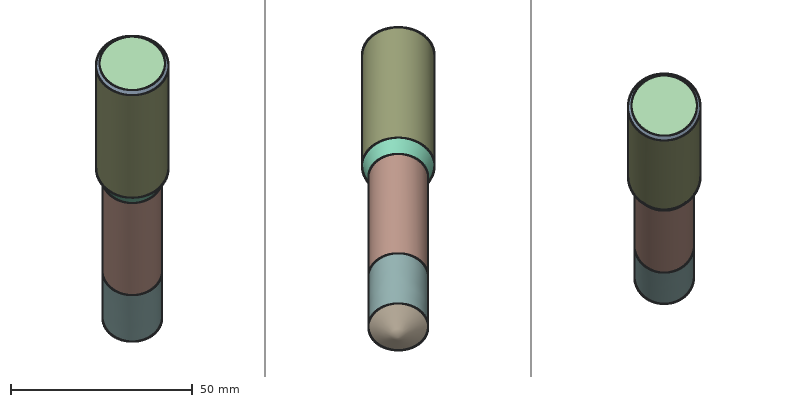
import cadquery as cq
import math

shank_diameter = 20.0
shank_length = 50.0
shank_chamfer = 1.0
cone_height = 5.0
neck_diameter = 16.5

tip_diameter = 16.5
tip_back_taper = 0.02
point_angle = 120.0

total_height = 126.0
joint_height = 27.0
cone_top_height = total_height - shank_length
cone_base_height = cone_top_height - cone_height

shank_radius = shank_diameter / 2
neck_radius = neck_diameter / 2
tip_radius = tip_diameter / 2
tip_joint_radius = (tip_diameter - tip_back_taper) / 2
point_height = tip_radius / math.tan(math.radians(point_angle / 2))


def revolve_about_z(profile):
    """Turn a closed (radius, height) profile into a solid of revolution about Z."""
    return cq.Workplane("XZ").polyline(profile).close().revolve(360, (0, 0, 0), (0, 1, 0))


def make_shank():
    """Neck, transition cone and shank, from the joint up to the chamfered top end."""
    return revolve_about_z([
        (0, joint_height),
        (neck_radius, joint_height),
        (neck_radius, cone_base_height),
        (shank_radius, cone_top_height),
        (shank_radius, total_height - shank_chamfer),
        (shank_radius - shank_chamfer, total_height),
        (0, total_height),
    ])


def make_cutting_tip():
    """Cutting end with a conical point, meeting the neck at a flat joint."""
    return revolve_about_z([
        (0, 0),
        (tip_radius, point_height),
        (tip_joint_radius, joint_height),
        (0, joint_height),
    ])


shank = make_shank()
cutting_tip = make_cutting_tip()

result = cq.Compound.makeCompound([shank.val(), cutting_tip.val()])